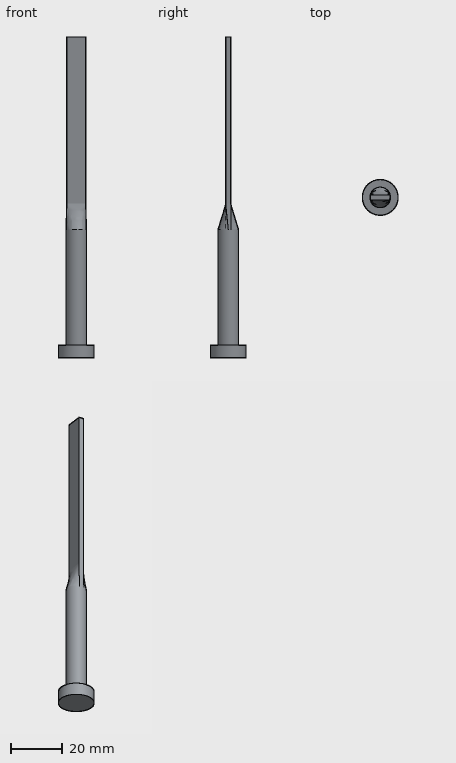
import cadquery as cq

total_length = 125.0
head_diameter = 14.0
head_height = 5.0
shaft_diameter = 8.0
shaft_top = 50.0

blade_length = 65.0
blade_width = 7.5
blade_thickness = 2.0
blade_bottom = total_length - blade_length


def make_cylinder(diameter, bottom, top):
    return cq.Workplane("XY").workplane(offset=bottom).circle(diameter / 2).extrude(top - bottom)


def make_transition():
    """Blend from the round shaft to the rectangular blade."""
    return (
        cq.Workplane("XY")
        .workplane(offset=shaft_top)
        .circle(shaft_diameter / 2)
        .workplane(offset=blade_bottom - shaft_top)
        .rect(blade_width, blade_thickness)
        .loft(ruled=True, combine=True)
    )


def make_blade():
    return (
        cq.Workplane("XY")
        .workplane(offset=blade_bottom)
        .rect(blade_width, blade_thickness)
        .extrude(blade_length)
    )


head = make_cylinder(head_diameter, 0, head_height)
shaft = make_cylinder(shaft_diameter, head_height, shaft_top)

result = head.union(shaft).union(make_transition()).union(make_blade())